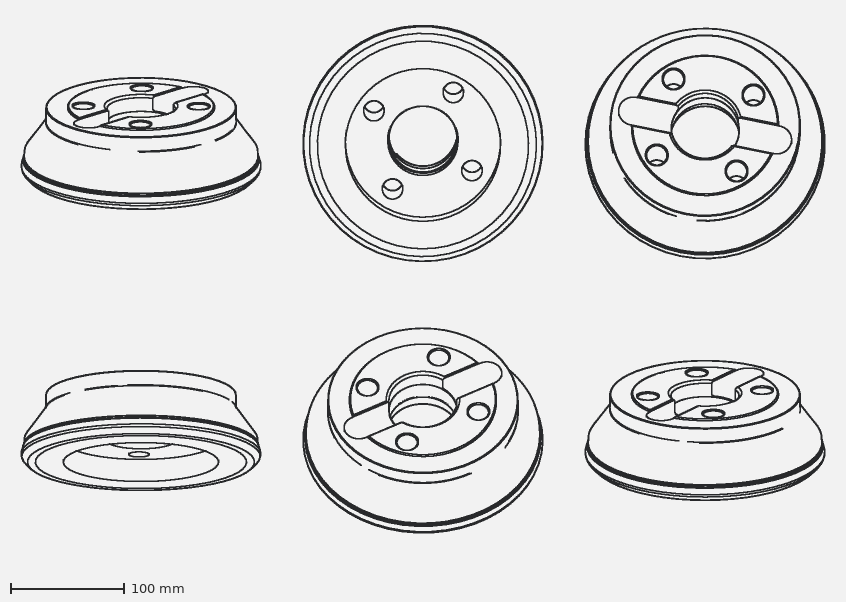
import cadquery as cq

overall_diameter = 211.7
overall_height = 63.0

boss_diameter = 130.0
boss_height = 1.3
boss_chamfer = 1.0
neck_diameter = 168.0
neck_chamfer = 0.6
neck_bottom_z = 48.3
neck_blend_radius = 1.3
rim_diameter = 206.2
cone_bottom_z = 21.4
cone_blend_radius = 4.2

bore_diameter = 60.0
bore_entry_diameter = 60.1
bore_chamfer = 2.3
bore_entry_bottom_z = 48.0
bore_land_z = 31.0
bore_relief_diameter = 62.0
recess_diameter = 137.0
recess_depth = 20.1

bolt_hole_diameter = 18.0
bolt_spacing = 72.0
bolt_chamfer = 1.0

slot_width = 26.0
slot_end_radius = 77.7
slot_depth = 14.0
slot_floor_fillet = 2.1
slot_chamfer = 1.0

ring_height = 15.9
ring_inner_diameter = 186.3
ring_widest_z = 7.5

ring_lower_flank = [(100.2, 0), (101.5, 1.0), (103.3, 3.0), (105.2, 5.0), (105.7, 6.5)]
ring_upper_flank = [(105.7, 8.3), (104.8, 10.8), (104.4, 13.1), (103.8, 14.0), (103.8, 15.5), (103.3, ring_height)]

flange_z = overall_height - boss_height
neck_radius = neck_diameter / 2
rim_radius = rim_diameter / 2
ring_inner_radius = ring_inner_diameter / 2
slot_floor_z = overall_height - slot_depth


def disc(diameter, bottom_z, top_z):
    """Upright cylinder on the Z axis."""
    return cq.Workplane("XY").workplane(offset=bottom_z).circle(diameter / 2).extrude(top_z - bottom_z)


def circle_at(level, radius):
    """Selector for the circular edge of the given radius at the given height."""
    margin = 0.2
    reach = radius + margin
    return cq.selectors.BoxSelector(
        (-reach, -reach, level - margin), (reach, reach, level + margin), boundingbox=True
    )


def hub_blank():
    """Turned hub: boss, neck, cone and rim, with a rebate for the ring at the foot."""
    boss_radius = boss_diameter / 2
    blank = (
        cq.Workplane("XZ")
        .moveTo(0, 0)
        .lineTo(ring_inner_radius, 0)
        .lineTo(ring_inner_radius, ring_height)
        .lineTo(rim_radius, ring_height)
        .lineTo(rim_radius, cone_bottom_z)
        .lineTo(neck_radius, neck_bottom_z)
        .lineTo(neck_radius, flange_z - neck_chamfer)
        .lineTo(neck_radius - neck_chamfer, flange_z)
        .lineTo(boss_radius, flange_z)
        .lineTo(boss_radius - boss_chamfer, overall_height)
        .lineTo(0, overall_height)
        .close()
        .revolve(360, (0, 0, 0), (0, 1, 0))
    )
    cone_ends = (
        (cone_bottom_z, rim_radius, cone_blend_radius),
        (neck_bottom_z, neck_radius, neck_blend_radius),
    )
    for level, radius, blend in cone_ends:
        blank = blank.edges(circle_at(level, radius)).fillet(blend)
    return blank


def bore_cutter():
    """Stepped bore with a chamfered mouth, opening into the underside recess."""
    entry_radius = bore_entry_diameter / 2
    mouth_z = overall_height - bore_chamfer
    mouth = cq.Solid.makeCone(entry_radius, entry_radius + bore_chamfer, bore_chamfer)
    return (
        cq.Workplane(mouth.translate(cq.Vector(0, 0, mouth_z)))
        .union(disc(bore_entry_diameter, bore_entry_bottom_z, mouth_z))
        .union(disc(bore_diameter, 0, mouth_z))
        .union(disc(bore_relief_diameter, 0, bore_land_z))
        .union(disc(recess_diameter, 0, recess_depth))
    )


def bolt_hole_cutter():
    """Four through holes on a square, each with a chamfered mouth."""
    hole_radius = bolt_hole_diameter / 2
    hole = cq.Workplane(cq.Solid.makeCylinder(hole_radius, overall_height))
    mouth = cq.Solid.makeCone(hole_radius, hole_radius + bolt_chamfer, bolt_chamfer)
    hole = hole.union(cq.Workplane(mouth.translate(cq.Vector(0, 0, overall_height - bolt_chamfer))))
    centres = cq.Workplane("XY").rect(bolt_spacing, bolt_spacing, forConstruction=True).vertices()
    return centres.eachpoint(hole.val(), combine=True)


def slot_cutter():
    """One drive slot across the bore: round ends and a filleted floor."""
    return (
        cq.Workplane("XY")
        .workplane(offset=slot_floor_z)
        .slot2D(2 * slot_end_radius, slot_width, 90)
        .extrude(slot_depth)
        .faces("<Z")
        .edges()
        .fillet(slot_floor_fillet)
    )


def slot_chamfer_cutter():
    """Bevel along the slot's upper edges, on the boss only."""
    bevel = (
        cq.Workplane("XZ")
        .moveTo(-slot_width / 2, overall_height - slot_chamfer)
        .lineTo(slot_width / 2, overall_height - slot_chamfer)
        .lineTo(slot_width / 2 + slot_chamfer, overall_height)
        .lineTo(-slot_width / 2 - slot_chamfer, overall_height)
        .close()
        .extrude(slot_end_radius, both=True)
    )
    return bevel.intersect(disc(boss_diameter, flange_z, overall_height))


def make_hub():
    """Turned blank with the bore, bolt holes and drive slots cut into it."""
    hub = hub_blank()
    for cutter in (bore_cutter(), bolt_hole_cutter(), slot_cutter(), slot_chamfer_cutter()):
        hub = hub.cut(cutter)
    return hub.solids()


def make_ring():
    """Turned cutting ring, seated in the hub's rebate."""
    outline = [
        (ring_inner_radius, 0),
        *ring_lower_flank,
        (overall_diameter / 2, ring_widest_z),
        *ring_upper_flank,
        (ring_inner_radius, ring_height),
    ]
    return cq.Workplane("XZ").polyline(outline).close().revolve(360, (0, 0, 0), (0, 1, 0))


hub = make_hub()
ring = make_ring()
result = cq.Compound.makeCompound([hub.val(), ring.val()])